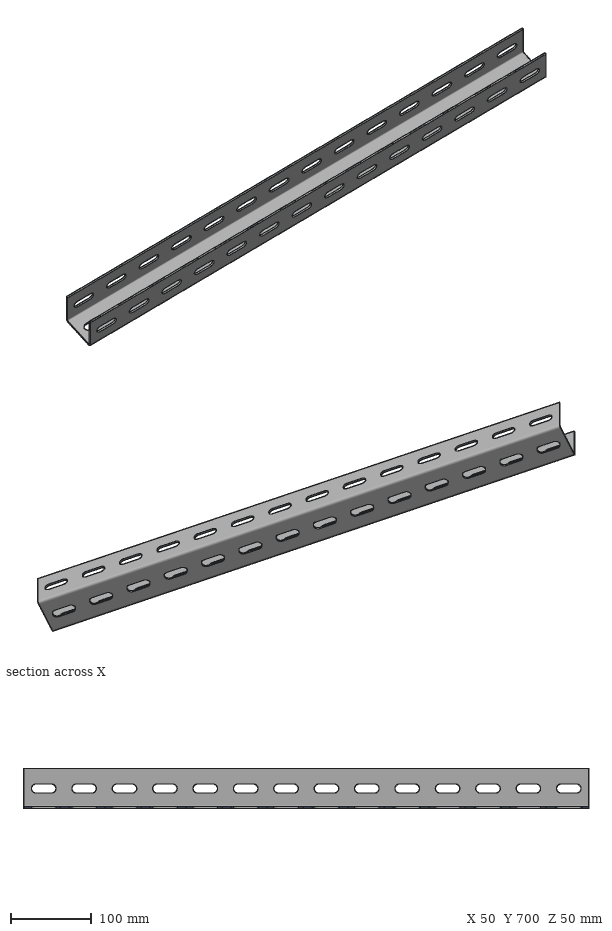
import cadquery as cq

width = 50.0
height = 50.0
length = 700.0
thickness = 2.5
inner_bend_radius = 1.5
outer_bend_radius = inner_bend_radius + thickness

slot_count = 14
slot_pitch = length / slot_count
slot_length = 30.0
slot_width = 11.0
wall_slot_height = height / 2


def make_channel():
    """U-shaped channel centred in X and Y, standing on Z = 0, with rounded bends."""
    outer = (
        cq.Workplane("XY")
        .box(width, length, height, centered=(True, True, False))
        .edges("|Y and <Z")
        .fillet(outer_bend_radius)
    )
    inner = (
        cq.Workplane("XY", origin=(0, 0, thickness))
        .box(width - 2 * thickness, length, height, centered=(True, True, False))
        .edges("|Y and <Z")
        .fillet(inner_bend_radius)
    )
    return outer.cut(inner)


def slot_positions():
    """Distances along Y of the slot centres, half a pitch in from each end."""
    return [(i + 0.5) * slot_pitch - length / 2 for i in range(slot_count)]


def base_slot_cutters():
    """Vertical cutters for the slots in the base."""
    return (
        cq.Workplane("XY")
        .pushPoints([(0, y) for y in slot_positions()])
        .slot2D(slot_length, slot_width, angle=90)
        .extrude(thickness)
    )


def wall_slot_cutters():
    """Horizontal cutters that pass through both side walls."""
    return (
        cq.Workplane("YZ")
        .pushPoints([(y, wall_slot_height) for y in slot_positions()])
        .slot2D(slot_length, slot_width)
        .extrude(width / 2, both=True)
    )


result = make_channel().cut(base_slot_cutters()).cut(wall_slot_cutters())